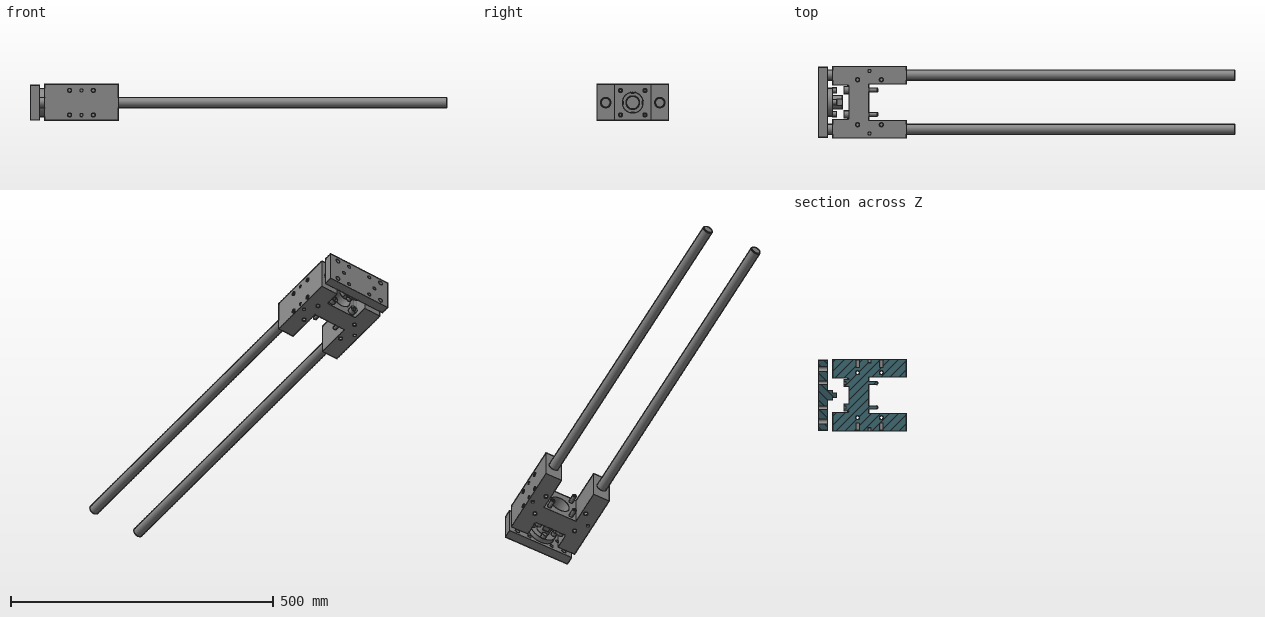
import cadquery as cq

total_length = 795.0
plate_thickness = 17.5
housing_start = 27.0
housing_length = 141.0
housing_center = housing_start + housing_length / 2

axis_z = -1.0

housing_width = 137.0
housing_height = 69.0
front_pocket_width = 65.0
front_pocket_depth = 31.0
front_pocket_radius = 3.0
rear_pocket_width = 69.0
rear_pocket_depth = 71.5
web_start = housing_start + front_pocket_depth
web_end = housing_start + housing_length - rear_pocket_depth
cylinder_bore_diameter = 40.0

thread_hole_diameter = 6.7
thread_mouth_diameter = 8.0
thread_mouth_depth = 1.5
thread_hole_depth = 15.0
dowel_hole_diameter = 6.0
dowel_hole_depth = 6.0
hole_pitch_x = 45.0
side_hole_pitch_z = 47.0
top_thread_pitch_y = 86.0
top_dowel_pitch_y = 119.0

screw_pitch = 46.5
screw_diameter = 8.0
screw_tip_chamfer = 1.5
screw_protrusion = 17.5
screw_head_diameter = 14.0
screw_head_length = 9.5
screw_socket_diameter = 6.5
screw_socket_depth = 4.0

plate_width = 134.0
plate_height = 67.0
plate_corner_hole_diameter = 9.0
plate_inner_hole_diameter = 6.7
plate_corner_pitch_y = 100.0
plate_inner_pitch_y = 48.0
plate_hole_pitch_z = 47.0
plate_dowel_pitch_y = 71.5
plate_dowel_diameter = 6.5

rod_diameter = 20.0
rod_pitch = 103.0
rod_chamfer = 1.5

flange_diameter = 54.0
flange_thickness = 9.5
flange_end = plate_thickness + flange_thickness
stud_diameter = 26.0
stud_length = 19.0
stud_chamfer = 1.2
stud_flats_length = 10.0
stud_width_across_flats = 23.0
stud_end = flange_end + stud_length
flange_screw_radius = 22.65
flange_screw_head_diameter = 10.0
flange_screw_head_length = 8.0


def rod_along_x(diameter, start, end, y=0.0, z=0.0):
    """Cylinder parallel to X between two X positions; y and z are measured from the main axis."""
    return cq.Workplane("YZ", origin=(start, y, axis_z + z)).circle(diameter / 2).extrude(end - start)


def block(start, length, width, height, z=axis_z):
    """Box beginning at an X position, centred on the main axis unless another height is given."""
    return cq.Workplane("XY").box(length, width, height, centered=(False, True, True)).translate((start, 0, z))


def pairs(pitch_a, pitch_b):
    """Four points of a centred rectangle."""
    return [(a * pitch_a / 2, b * pitch_b / 2) for a in (-1, 1) for b in (-1, 1)]


def hole_group(face, inward, thread_pitch, dowel_pitch):
    """Four threaded holes and two dowel holes; inward is the sign of the cut along the face normal."""
    threads = face.pushPoints(pairs(hole_pitch_x, thread_pitch))
    drilled = threads.circle(thread_hole_diameter / 2).extrude(inward * thread_hole_depth)
    mouths = threads.circle(thread_mouth_diameter / 2).extrude(inward * thread_mouth_depth)
    dowels = face.pushPoints([(0, -dowel_pitch / 2), (0, dowel_pitch / 2)])
    dowels = dowels.circle(dowel_hole_diameter / 2).extrude(inward * dowel_hole_depth)
    return drilled.union(mouths).union(dowels)


def make_screw(y, z):
    """Socket head screw running through the web, its head in the front pocket."""
    head_start = web_start - screw_head_length
    screw = rod_along_x(screw_diameter, head_start, web_end + screw_protrusion, y, z)
    screw = screw.faces(">X").chamfer(screw_tip_chamfer)
    screw = screw.union(rod_along_x(screw_head_diameter, head_start, web_start, y, z))
    return screw.cut(rod_along_x(screw_socket_diameter, head_start, head_start + screw_socket_depth, y, z))


def make_housing():
    """H-shaped block with rod bores, cylinder bore, holes and mounting screws."""
    body = block(housing_start, housing_length, housing_width, housing_height, z=0)
    front_pocket = block(housing_start, front_pocket_depth, front_pocket_width, housing_height, z=0)
    front_pocket = front_pocket.edges("|Z and >X").fillet(front_pocket_radius)
    rear_pocket = block(web_end, rear_pocket_depth, rear_pocket_width, housing_height, z=0)
    body = body.cut(front_pocket).cut(rear_pocket)
    body = body.cut(rod_along_x(cylinder_bore_diameter, web_start, web_end))
    for y in (-rod_pitch / 2, rod_pitch / 2):
        body = body.cut(rod_along_x(rod_diameter, housing_start, housing_start + housing_length, y))
    for side in (-1, 1):
        side_face = cq.Workplane("XZ", origin=(housing_center, side * housing_width / 2, axis_z))
        body = body.cut(hole_group(side_face, side, side_hole_pitch_z, side_hole_pitch_z))
        top_face = cq.Workplane("XY", origin=(housing_center, 0, side * housing_height / 2))
        body = body.cut(hole_group(top_face, -side, top_thread_pitch_y, top_dowel_pitch_y))
    for y, z in pairs(screw_pitch, screw_pitch):
        body = body.union(make_screw(y, z))
    return body


def make_stud():
    """Round stud whose end has two wrench flats, above and below."""
    stud = rod_along_x(stud_diameter, flange_end, stud_end).faces(">X").chamfer(stud_chamfer)
    flats_start = stud_end - stud_flats_length
    end_blank = block(flats_start, stud_flats_length, stud_diameter, stud_diameter)
    kept_middle = block(flats_start, stud_flats_length, stud_diameter, stud_width_across_flats)
    return stud.cut(end_blank.cut(kept_middle))


def make_carriage():
    """Front plate with the two guide rods and the coupling."""
    body = block(0, plate_thickness, plate_width, plate_height)
    for y, z in pairs(plate_corner_pitch_y, plate_hole_pitch_z):
        body = body.cut(rod_along_x(plate_corner_hole_diameter, 0, plate_thickness, y, z))
    for y, z in pairs(plate_inner_pitch_y, plate_hole_pitch_z):
        body = body.cut(rod_along_x(plate_inner_hole_diameter, 0, plate_thickness, y, z))
    for y in (-plate_dowel_pitch_y / 2, plate_dowel_pitch_y / 2):
        body = body.cut(rod_along_x(plate_dowel_diameter, 0, plate_thickness, y))
    for y in (-rod_pitch / 2, rod_pitch / 2):
        rod = rod_along_x(rod_diameter, plate_thickness, total_length, y)
        body = body.union(rod.faces(">X").chamfer(rod_chamfer))
    body = body.union(rod_along_x(flange_diameter, plate_thickness, flange_end))
    body = body.union(make_stud())
    head_end = flange_end + flange_screw_head_length
    for side_y, side_z in ((1, 0), (-1, 0), (0, 1), (0, -1)):
        place = (side_y * flange_screw_radius, side_z * flange_screw_radius)
        head = rod_along_x(flange_screw_head_diameter, flange_end, head_end, *place)
        body = body.union(head)
    return body


housing = make_housing()
carriage = make_carriage()
result = cq.Compound.makeCompound([housing.solids().val(), carriage.solids().val()])